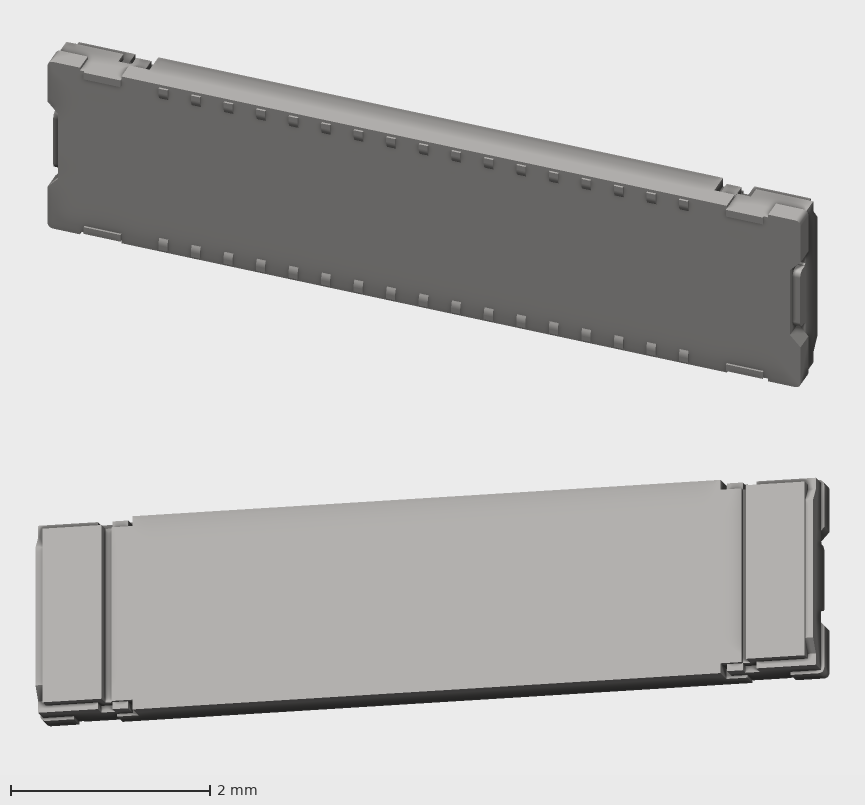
import cadquery as cq
import math

LENGTH = 8.1
DEPTH = 0.6
HEIGHT = 2.0
HALF_LENGTH = LENGTH / 2
HALF_HEIGHT = HEIGHT / 2

STANDOFF = 0.025
BEAM_BACK = 0.49
BEAM_END = 0.79
CORNER_BACK = 0.24
CORNER_LENGTH = 0.35
CORNER_RADIUS = 0.06
END_NOTCH_DEPTH = 0.11
END_NOTCH_MOUTH = 1.02
END_NOTCH_FLOOR = 0.78

POCKET_END = 1.01
POCKET_FLOOR = 0.9
LEDGE_END = 0.955
LEDGE_BACK = 0.44
LEDGE_HEIGHT = 0.97

SHELL_INSET = 0.03
SHELL_HALF_HEIGHT = HALF_HEIGHT - SHELL_INSET
SHELL_BACK = 0.46
SHELL_END = 0.65
FOOT_START = 0.4
FOOT_HEIGHT = 0.08
FOOT_BACK = 0.315
RIM_START = 0.11
RIM_END = 0.72
RIM_HALF_HEIGHT = POCKET_FLOOR
APRON_BACK = 0.575
APRON_HALF_BASE = 0.85
APRON_HALF_TOP = 0.71
TONGUE_FRONT = 0.1
TONGUE_HEIGHT = 0.67
TONGUE_RADIUS = 0.065
TONGUE_ROOT_RADIUS = 0.025

CONTACT_COUNT = 17
CONTACT_PITCH = 0.35
CONTACT_WIDTH = 0.1
CONTACT_FLAT = 0.06
CONTACT_BEND_RADIUS = 0.12


def block(x_start, x_end, y_front, y_back, half_height):
    """Block at the left end, centred on mid-height; X is measured from the end of the part."""
    return cq.Workplane("XY").box(
        x_end - x_start, y_back - y_front, 2 * half_height, centered=(False, False, True)
    ).translate((x_start - HALF_LENGTH, y_front, 0))


def both_ends(left_end):
    return left_end.union(left_end.mirror("YZ"))


def both_edges(top_feature):
    return top_feature.union(top_feature.mirror("XY"))


def make_beam():
    return cq.Workplane("XY").box(
        LENGTH - 2 * BEAM_END, BEAM_BACK - STANDOFF, HEIGHT, centered=(True, False, True)
    ).translate((0, STANDOFF, 0))


def make_pocket():
    """Pocket in the top of the beam end, leaving a ledge standing inside it."""
    def upper_block(x_end, y_back, z_low):
        height = HALF_HEIGHT - z_low
        return cq.Workplane("XY").box(
            x_end - BEAM_END, y_back - CORNER_BACK, height, centered=False
        ).translate((BEAM_END - HALF_LENGTH, CORNER_BACK, z_low))

    pocket = upper_block(POCKET_END, BEAM_BACK, POCKET_FLOOR)
    ledge_clearance = upper_block(LEDGE_END, LEDGE_BACK, LEDGE_HEIGHT)
    ledge = upper_block(LEDGE_END, LEDGE_BACK, POCKET_FLOOR).cut(ledge_clearance)
    return pocket.cut(ledge)


def make_housing_end():
    """End plate with rounded corners and a tapered notch in the middle of its outer edge."""
    plate = block(0, CORNER_LENGTH, STANDOFF, CORNER_BACK, HALF_HEIGHT)
    plate = plate.edges("|Y and <X").fillet(CORNER_RADIUS)
    notch = (
        cq.Workplane("XZ")
        .polyline([
            (-HALF_LENGTH, END_NOTCH_MOUTH / 2),
            (-HALF_LENGTH + END_NOTCH_DEPTH, END_NOTCH_FLOOR / 2),
            (-HALF_LENGTH + END_NOTCH_DEPTH, -END_NOTCH_FLOOR / 2),
            (-HALF_LENGTH, -END_NOTCH_MOUTH / 2),
        ])
        .close()
        .extrude(-CORNER_BACK)
    )
    core = block(END_NOTCH_DEPTH, BEAM_END, STANDOFF, FOOT_BACK, SHELL_HALF_HEIGHT)
    bridge = block(SHELL_INSET, BEAM_END, CORNER_BACK, LEDGE_BACK, POCKET_FLOOR)
    return plate.cut(notch).union(core).union(bridge)


def make_tongue():
    """Tongue of the shell end wall reaching forward into the end notch."""
    half = TONGUE_HEIGHT / 2
    root = TONGUE_ROOT_RADIUS
    tip = TONGUE_RADIUS
    return (
        cq.Workplane("YZ", origin=(SHELL_INSET - HALF_LENGTH, 0, 0))
        .moveTo(CORNER_BACK, half + root)
        .radiusArc((CORNER_BACK - root, half), -root)
        .lineTo(TONGUE_FRONT + tip, half)
        .radiusArc((TONGUE_FRONT, half - tip), -tip)
        .lineTo(TONGUE_FRONT, tip - half)
        .radiusArc((TONGUE_FRONT + tip, -half), -tip)
        .lineTo(CORNER_BACK - root, -half)
        .radiusArc((CORNER_BACK, -half - root), -root)
        .close()
        .extrude(END_NOTCH_DEPTH - SHELL_INSET)
    )


def make_shell():
    body = block(SHELL_INSET, SHELL_END, CORNER_BACK, SHELL_BACK, SHELL_HALF_HEIGHT)
    rim = block(RIM_START, RIM_END, FOOT_BACK, DEPTH, RIM_HALF_HEIGHT)
    apron = (
        cq.Workplane("YZ", origin=(SHELL_INSET - HALF_LENGTH, 0, 0))
        .polyline([
            (SHELL_BACK, APRON_HALF_BASE),
            (APRON_BACK, APRON_HALF_TOP),
            (APRON_BACK, -APRON_HALF_TOP),
            (SHELL_BACK, -APRON_HALF_BASE),
        ])
        .close()
        .extrude(RIM_START - SHELL_INSET)
    )
    foot = cq.Workplane("XY").box(BEAM_END - FOOT_START, FOOT_BACK, FOOT_HEIGHT, centered=False)
    foot = foot.translate((FOOT_START - HALF_LENGTH, 0, SHELL_HALF_HEIGHT - FOOT_HEIGHT))
    return body.union(rim).union(apron).union(both_edges(foot)).union(make_tongue())


def make_contact(x_centre):
    """Contact with a flat pad at the edge that bends back into the housing face."""
    bend_run = math.sqrt(CONTACT_BEND_RADIUS**2 - (CONTACT_BEND_RADIUS - STANDOFF) ** 2)
    flat_end = SHELL_HALF_HEIGHT - CONTACT_FLAT
    return (
        cq.Workplane("YZ", origin=(x_centre, 0, 0))
        .moveTo(CORNER_BACK, SHELL_HALF_HEIGHT)
        .lineTo(0, SHELL_HALF_HEIGHT)
        .lineTo(0, flat_end)
        .radiusArc((STANDOFF, flat_end - bend_run), -CONTACT_BEND_RADIUS)
        .lineTo(CORNER_BACK, flat_end - bend_run)
        .close()
        .extrude(CONTACT_WIDTH / 2, both=True)
    )


result = make_beam().cut(both_ends(both_edges(make_pocket())))
result = result.union(both_ends(make_housing_end().union(make_shell())))
for index in range(CONTACT_COUNT):
    contact_x = (index - (CONTACT_COUNT - 1) / 2) * CONTACT_PITCH
    result = result.union(both_edges(make_contact(contact_x)))